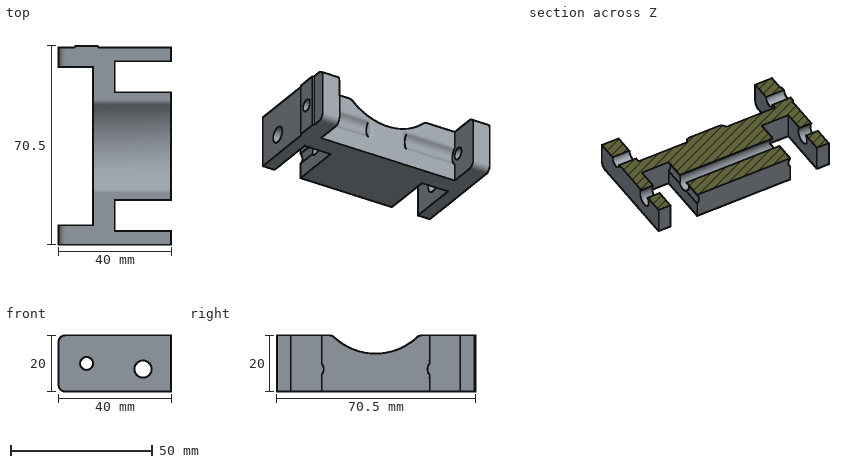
import cadquery as cq
import math

length = 40.0
half_width = 35.0
height = 20.0

web_front = 12.25
flange_thickness = 7.0
arm_thickness = 5.0
flange_corner_radius = 2.5

slot_width = 10.85
slot_start = 20.0

saddle_radius = 21.5
saddle_bottom = 13.5
saddle_edge_radius = 2.5

small_hole_diameter = 4.5
small_hole_x = 10.0
small_hole_z = height / 2
large_hole_diameter = 6.0
large_hole_x = 30.0
large_hole_z = 8.0

groove_radius = 4.0
groove_blind_end = 8.0
groove_edge_radius = 2.0
lip_center_depth = web_front + groove_edge_radius - small_hole_x

scoop_radius = 3.0
scoop_width = 4.0

pad_top_width = 7.85
pad_base_width = 8.5
pad_height = 0.5

flange_inner = half_width - flange_thickness
slot_outer = half_width - arm_thickness
slot_inner = slot_outer - slot_width

tolerance = 0.01


def box(x_min, x_max, y_min, y_max):
    """Full-height box given by its limits in X and Y."""
    return (
        cq.Workplane("XY")
        .box(x_max - x_min, y_max - y_min, height, centered=False)
        .translate((x_min, y_min, 0))
    )


def cylinder_along_y(x, z, radius, y_min, y_max):
    """Cylinder parallel to Y, centered at (x, z)."""
    base_center = cq.Vector(x, y_min, z)
    along_y = cq.Vector(0, 1, 0)
    return cq.Workplane(cq.Solid.makeCylinder(radius, y_max - y_min, base_center, along_y))


def make_saddle_block():
    """Web and central block with the rounded trough, without the side walls."""
    block = box(web_front, length, -flange_inner, flange_inner)
    trough = (
        cq.Workplane("YZ")
        .center(0, saddle_bottom + saddle_radius)
        .circle(saddle_radius)
        .extrude(length)
    )
    block = block.cut(trough)
    rims = cq.selectors.BoxSelector(
        (web_front, -saddle_radius, height - tolerance),
        (length, saddle_radius, height + tolerance),
    )
    return block.edges(rims).edges("|X").fillet(saddle_edge_radius)


def lip_center_offset():
    """Height of each groove lip's arc center above or below the groove axis."""
    return math.sqrt((groove_radius + groove_edge_radius) ** 2 - lip_center_depth**2)


def make_groove_channel():
    """Groove with rounded lips, from the blind end to the flange on the +Y side."""
    offset = lip_center_offset()
    on_groove = groove_radius / (groove_radius + groove_edge_radius)
    tangent_depth = lip_center_depth * on_groove
    tangent_offset = offset * on_groove
    lip_sweep = math.atan2(offset, lip_center_depth)
    middle_depth = lip_center_depth - groove_edge_radius * math.cos(lip_sweep / 2)
    middle_offset = offset - groove_edge_radius * math.sin(lip_sweep / 2)
    mouth_depth = web_front - small_hole_x
    return (
        cq.Workplane("XZ", origin=(small_hole_x, flange_inner, small_hole_z))
        .moveTo(mouth_depth, offset)
        .threePointArc((middle_depth, middle_offset), (tangent_depth, tangent_offset))
        .threePointArc((groove_radius, 0), (tangent_depth, -tangent_offset))
        .threePointArc((middle_depth, -middle_offset), (mouth_depth, -offset))
        .close()
        .extrude(flange_inner - groove_blind_end)
    )


def make_groove_end():
    """Rounded run-out past the blind end, shaped by a ball rolled along the end arc and web face."""
    offset = lip_center_offset()
    ball_center_x = small_hole_x + lip_center_depth

    def rim_point(angle):
        """Point (Y, Z) of the run-out's rim; the angle sweeps from the lower to the upper lip."""
        rise = offset * math.sin(angle)
        overhang = math.hypot(lip_center_depth, rise) - groove_radius
        run_out = math.sqrt(max(groove_edge_radius**2 - overhang**2, 0))
        return (groove_blind_end - run_out, small_hole_z + rise)

    quarter = math.pi / 2
    run_out_prism = (
        cq.Workplane("YZ", origin=(web_front, 0, 0))
        .parametricCurve(rim_point, start=-quarter, stop=quarter, makeWire=False)
        .close()
        .extrude(groove_edge_radius)
    )
    ball_path = cq.Workplane("YZ", origin=(ball_center_x, 0, 0)).parametricCurve(
        rim_point, start=-quarter, stop=quarter
    )
    rolled_ball = (
        cq.Workplane("XZ", origin=(ball_center_x, groove_blind_end, small_hole_z - offset))
        .circle(groove_edge_radius)
        .sweep(ball_path)
    )
    return run_out_prism.cut(rolled_ball)


def make_groove():
    """Complete groove on the +Y side."""
    return make_groove_channel().union(make_groove_end())


def make_side_wall(side):
    """Flange and arm on one side, with rounded front corners."""
    wall_limits = sorted((side * flange_inner, side * half_width))
    wall = box(0, length, *wall_limits)
    return wall.edges("<X and |Y").fillet(flange_corner_radius)


def make_slot(side):
    """Slot between an arm and the saddle block, open at the arm tips."""
    slot_limits = sorted((side * slot_outer, side * slot_inner))
    return box(slot_start, length, *slot_limits)


def make_scoop(side):
    """Shallow round-bottomed channel along X in the saddle block's slot wall."""
    axis_y = slot_inner + math.sqrt(scoop_radius**2 - (scoop_width / 2) ** 2)
    return (
        cq.Workplane("YZ", origin=(slot_start, side * axis_y, large_hole_z))
        .circle(scoop_radius)
        .extrude(length - slot_start)
    )


def make_pad():
    """Shallow full-height pad with sloped sides, centered on the small hole."""
    top_half = pad_top_width / 2
    base_half = pad_base_width / 2
    outline = [
        (small_hole_x - base_half, half_width),
        (small_hole_x - top_half, half_width + pad_height),
        (small_hole_x + top_half, half_width + pad_height),
        (small_hole_x + base_half, half_width),
    ]
    return cq.Workplane("XY").polyline(outline).close().extrude(height)


body = make_saddle_block()
groove = make_groove()
body = body.cut(groove).cut(groove.mirror("XZ"))
for side in (-1, 1):
    body = body.union(make_side_wall(side)).cut(make_slot(side)).cut(make_scoop(side))
body = body.union(make_pad())
for side in (-1, 1):
    hole_limits = sorted((side * flange_inner, side * (half_width + pad_height)))
    small_hole = cylinder_along_y(small_hole_x, small_hole_z, small_hole_diameter / 2, *hole_limits)
    body = body.cut(small_hole)
large_hole = cylinder_along_y(
    large_hole_x, large_hole_z, large_hole_diameter / 2, -half_width, half_width
)
body = body.cut(large_hole)

result = body